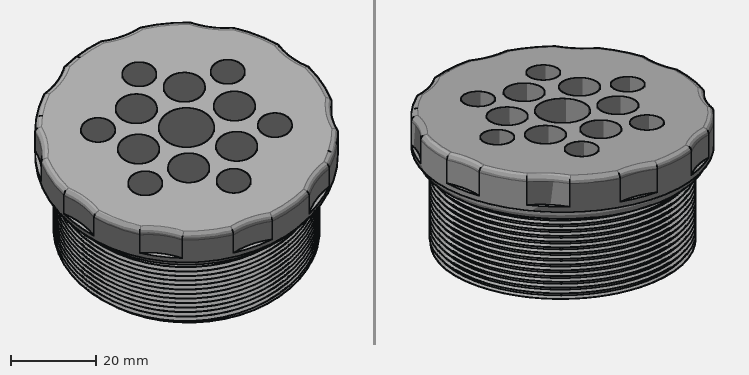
import cadquery as cq
import math

FLANGE_DIAMETER = 71.0
FLANGE_RADIUS = FLANGE_DIAMETER / 2
TOTAL_HEIGHT = 34.0
FLANGE_THICKNESS = 9.0
FLANGE_BOTTOM = TOTAL_HEIGHT - FLANGE_THICKNESS
RIM_FILLET = 1.5

SCALLOP_COUNT = 10
SCALLOP_RADIUS = 18.45
SCALLOP_DEPTH = 1.1
RIM_LIP_HEIGHT = 1.4

THREAD_RADIUS = 31.25
THREAD_DEPTH = 0.85
ROOT_RADIUS = THREAD_RADIUS - THREAD_DEPTH
CREST_INTERVALS = 14
CREST_SPAN = 21.0
PITCH = CREST_SPAN / CREST_INTERVALS
FLANK_HALF_ANGLE = math.radians(30)
THREAD_START = -0.1
RIDGE_OVERLAP = 0.1

SEAL_TUBE_RADIUS = 1.5
SEAL_CENTRE_RADIUS = THREAD_RADIUS + SEAL_TUBE_RADIUS

CENTRE_HOLE_DIAMETER = 13.0
INNER_HOLE_DIAMETER = 9.7
INNER_CIRCLE_RADIUS = 13.3
OUTER_HOLE_DIAMETER = 8.0
OUTER_CIRCLE_RADIUS = 20.7
HOLES_PER_CIRCLE = 6
HALF_HOLE_STEP = 360 / HOLES_PER_CIRCLE / 2


def cylinder(radius, bottom, top):
    return cq.Workplane("XY").workplane(offset=bottom).circle(radius).extrude(top - bottom)


def make_flange():
    """Disc with scalloped grip edge, a full-round lip below and a rounded top edge."""
    lip_top = FLANGE_BOTTOM + RIM_LIP_HEIGHT
    scallop_centre = FLANGE_RADIUS - SCALLOP_DEPTH + SCALLOP_RADIUS
    scallops = (
        cq.Workplane("XY")
        .workplane(offset=lip_top)
        .polarArray(scallop_centre, 0, 360, SCALLOP_COUNT)
        .circle(SCALLOP_RADIUS)
        .extrude(FLANGE_THICKNESS)
    )
    grip = cylinder(FLANGE_RADIUS, lip_top, TOTAL_HEIGHT).cut(scallops)
    grip = grip.faces(">Z").edges().fillet(RIM_FILLET)
    return grip.union(cylinder(FLANGE_RADIUS, FLANGE_BOTTOM, lip_top))


def make_threaded_plug():
    """Core with a right-hand V-shaped ridge, overlong at first and then trimmed flat at both ends."""
    below_base = THREAD_START - PITCH
    helix_height = FLANGE_BOTTOM + PITCH - below_base
    path = cq.Wire.makeHelix(PITCH, helix_height, ROOT_RADIUS).translate(cq.Vector(0, 0, below_base))
    inner_radius = ROOT_RADIUS - RIDGE_OVERLAP
    half_base = (THREAD_RADIUS - inner_radius) * math.tan(FLANK_HALF_ANGLE)
    ridge = (
        cq.Workplane("XZ")
        .moveTo(inner_radius, below_base - half_base)
        .lineTo(THREAD_RADIUS, below_base)
        .lineTo(inner_radius, below_base + half_base)
        .close()
        .sweep(cq.Workplane(path), isFrenet=True)
    )
    core = cylinder(ROOT_RADIUS, below_base - PITCH, FLANGE_BOTTOM + 2 * PITCH)
    return core.union(ridge).intersect(cylinder(FLANGE_RADIUS, 0, FLANGE_BOTTOM))


def make_holes():
    """Centre hole and two staggered circles of holes, running the full height."""
    holes = cylinder(CENTRE_HOLE_DIAMETER / 2, 0, TOTAL_HEIGHT)
    for circle_radius, diameter, start_angle in (
        (INNER_CIRCLE_RADIUS, INNER_HOLE_DIAMETER, 0),
        (OUTER_CIRCLE_RADIUS, OUTER_HOLE_DIAMETER, HALF_HOLE_STEP),
    ):
        ring = (
            cq.Workplane("XY")
            .polarArray(circle_radius, start_angle, 360, HOLES_PER_CIRCLE)
            .circle(diameter / 2)
            .extrude(TOTAL_HEIGHT)
        )
        holes = holes.union(ring)
    return holes


def make_cap():
    return make_threaded_plug().union(make_flange()).cut(make_holes())


def make_seal_ring():
    """O-ring seated around the thread crests, touching the underside of the flange."""
    centre_height = FLANGE_BOTTOM - SEAL_TUBE_RADIUS
    torus = cq.Solid.makeTorus(SEAL_CENTRE_RADIUS, SEAL_TUBE_RADIUS)
    return cq.Workplane(torus.translate(cq.Vector(0, 0, centre_height)))


cap = make_cap()
seal_ring = make_seal_ring()
result = cq.Compound.makeCompound([cap.val(), seal_ring.val()])